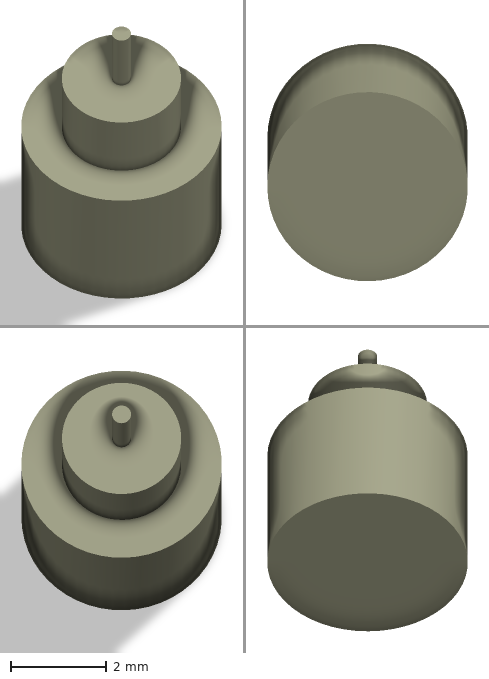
import cadquery as cq

total_height = 5.95
body_height = 3.05
collar_height = 1.5
pin_height = total_height - body_height - collar_height

body_diameter = 4.2
collar_diameter = 2.5
pin_diameter = 0.4


def add_step(solid, diameter, height):
    """Stack a coaxial cylinder on the top face."""
    return solid.faces(">Z").workplane().circle(diameter / 2).extrude(height)


body = cq.Workplane("XY").circle(body_diameter / 2).extrude(body_height)

with_collar = add_step(body, collar_diameter, collar_height)
result = add_step(with_collar, pin_diameter, pin_height)